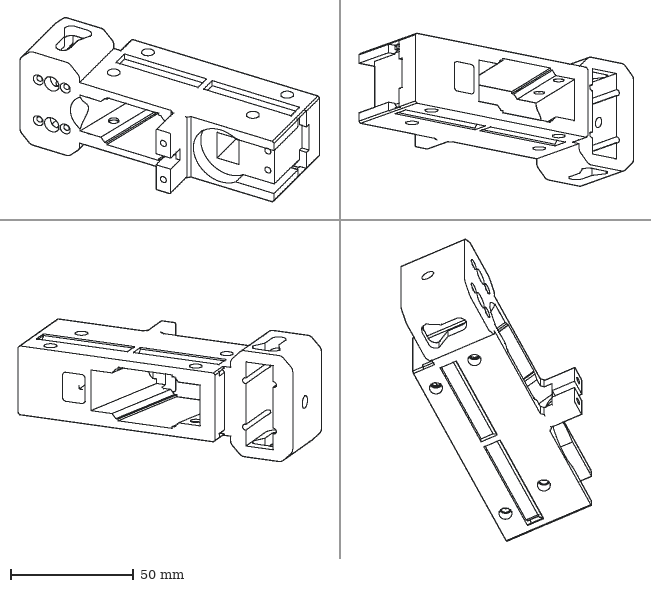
import cadquery as cq
import math

HEAD_LENGTH = 27.9
HEAD_DEPTH = 29.0
HEAD_HEIGHT = 45.7
HEAD_CHAMFER = 5.0
HEAD_CORNER_RADIUS = 3.0
HEAD_CENTRE_X = 14.9
CROSS_HOLE_DIAMETER = 6.7
CROSS_HOLE_Z = 10.0
SCREW_HOLE_OFFSET = 6.3
SCREW_HOLE_DIAMETER = 2.5
COUNTERSINK_DIAMETER = 4.6
KEYHOLE_SLOT_RADIUS = 3.05
KEYHOLE_SLOT_END_Y = 9.75
KEYHOLE_NECK_Y = 16.4
KEYHOLE_TOP_Y = 25.0
KEYHOLE_HALF_WIDTH = 6.05
KEYHOLE_CORNER_RADIUS = 3.15
KEYHOLE_CAVITY_HALF_HEIGHT = 18.1
SIDE_HOLE_Y = 16.8

END_X = 118.75
BODY_START_X = 30.5
BODY_DEPTH = 38.5
BODY_HEIGHT = 29.7
BODY_TOP = BODY_HEIGHT / 2
EDGE_CHAMFER = 0.8

LEG_START_X = 71.9
LEG_END_X = 78.75
LEG_REACH = 15.0
LEG_FILLET = 0.77
LEG_ROOT_CHAMFER = 1.2
LEG_GAP_HALF = 2.7
LEG_GAP_STEP_X = 76.8
LEG_GAP_NEAR_Y = -7.15
LEG_GAP_DEEP_Y = -4.9
LEG_HOLE_Z = 8.85
LEG_HOLE_DEPTH = 8.0

SLANT = math.tan(math.radians(13.3))
WINDOW_LEFT_X = 28.2
WINDOW_FRONT_Y = -4.7
WINDOW_UNDERCUT = 4.0
WINDOW_HALF_HEIGHT = 8.75
GROOVE_STEP_Z = 10.7
GROOVE_HALF_HEIGHT = 11.5
GROOVE_FLOOR_LEFT_X = 40.6
GROOVE_FLOOR_RIGHT_X = 64.8
GROOVE_LEDGE = 1.0
GROOVE_SLOPE = 1.75

LEFT_RELIEF_X = 32.5
LEFT_RELIEF_MOUTH_RADIUS = 8.9
LEFT_RELIEF_STEP_RADIUS = 6.8
LEFT_RELIEF_STEP_DEPTH = 1.2
LEFT_RELIEF_TIP_RADIUS = 3.05
LEFT_RELIEF_DEPTH = 5.0
RIGHT_RELIEF_Y = -6.0
RIGHT_RELIEF_RADIUS = 6.9
RIGHT_RELIEF_FLOOR_X = 77.6

SEAT_X = 93.75
SEAT_RADIUS = 12.7
SEAT_DEPTH = 6.25
CHANNEL_HALF_HEIGHT = 10.5
SEAT_WINDOW_LENGTH = 10.1
SEAT_WINDOW_HEIGHT = 12.5
SEAT_WINDOW_SQUARE_DEPTH = 22.0
SEAT_WINDOW_CORNER_RADIUS = 1.6
SEAT_HOLE_X = 112.4
SEAT_HOLE_Z = 4.65
SEAT_HOLE_DEPTH = 8.0
SMALL_HOLE_DIAMETER = 2.75
END_WALL_X = 115.4
END_RECESS_DEPTH = 2.0

SLOT_FRONT_Y = 20.3
SLOT_BACK_Y = 27.5
SLOT_SPANS = [(33.7, 72.0), (74.65, END_WALL_X)]
SLOT_FLOOR_Z = 12.35
SLOT_BEVEL = 1.8
MOUTH_TOP_Z = SLOT_FLOOR_Z + SLOT_BEVEL
MOUTH_BACK_Y = 34.0
MOUTH_START_X = 114.0

INSERT_DIAMETER = 5.2
INSERT_DEPTH = 5.0
THREAD_HOLE_DIAMETER = 4.2
PLATE_HOLE_ROWS = [(36.5, 13.3), (41.5, 33.2)]
PLATE_HOLE_PITCH = 65.0
BLIND_HOLE_DEPTH = 8.0

OVERCUT = 1.0


def box(x0, x1, y0, y1, z0, z1):
    """Box given by its limits along each axis."""
    return cq.Workplane("XY").box(x1 - x0, y1 - y0, z1 - z0, centered=False).translate((x0, y0, z0))


def rod_y(x, z, diameter, y0, y1):
    """Cylinder along Y from y0 to y1."""
    return cq.Workplane("XZ", origin=(x, y0, z)).circle(diameter / 2).extrude(y0 - y1)


def both_sides(solid):
    """A solid together with its mirror image about Z = 0."""
    return solid.union(solid.mirror("XY"))


def make_head():
    block = box(0, HEAD_LENGTH, 0, HEAD_DEPTH, -HEAD_HEIGHT / 2, HEAD_HEIGHT / 2)
    block = block.edges("|Y").chamfer(HEAD_CHAMFER)
    return block.edges("|Y").fillet(HEAD_CORNER_RADIUS)


def beveled_bar(x0, x1, y0, y1):
    """Full-height bar with its top and bottom edges chamfered at both X ends."""
    outline = [
        (x0, 0),
        (x0, BODY_TOP - EDGE_CHAMFER),
        (x0 + EDGE_CHAMFER, BODY_TOP),
        (x1 - EDGE_CHAMFER, BODY_TOP),
        (x1, BODY_TOP - EDGE_CHAMFER),
        (x1, 0),
    ]
    upper = cq.Workplane("XZ", origin=(0, y0, 0)).polyline(outline).close().extrude(y0 - y1)
    return both_sides(upper)


def make_body():
    rear = beveled_bar(BODY_START_X, END_X, 0, BODY_DEPTH)
    bridge = box(HEAD_LENGTH / 2, (BODY_START_X + END_X) / 2, 0, HEAD_DEPTH, -BODY_TOP, BODY_TOP)
    return rear.union(bridge)


def make_legs():
    legs = box(LEG_START_X, LEG_END_X, -LEG_REACH, OVERCUT, -BODY_TOP, BODY_TOP)
    legs = legs.edges("|Y").fillet(LEG_FILLET)
    c = LEG_ROOT_CHAMFER
    root = [(LEG_START_X - c, 0), (LEG_START_X, -c), (LEG_END_X, -c), (LEG_END_X + c, 0)]
    root_block = cq.Workplane("XY", origin=(0, 0, -BODY_TOP)).polyline(root).close().extrude(BODY_HEIGHT)
    legs = legs.union(root_block)
    g = LEG_GAP_HALF
    legs = legs.cut(box(LEG_START_X - c, LEG_END_X + c, -LEG_REACH, LEG_GAP_NEAR_Y, -g, g))
    legs = legs.cut(box(LEG_START_X - c, LEG_GAP_STEP_X, -LEG_REACH, LEG_GAP_DEEP_Y, -g, g))
    leg_centre_x = (LEG_START_X + LEG_END_X) / 2
    for z in (-LEG_HOLE_Z, LEG_HOLE_Z):
        legs = legs.cut(rod_y(leg_centre_x, z, SMALL_HOLE_DIAMETER, -LEG_REACH, LEG_HOLE_DEPTH - LEG_REACH))
    return legs


def slanted_prism(outline, y0, y1):
    """Sweep an XZ outline, given at Y = 0, along the slanted window direction."""
    start = [(x + SLANT * y0, z) for x, z in outline]
    end = [(x + SLANT * y1, z) for x, z in outline]
    sketch = cq.Workplane("XZ", origin=(0, y0, 0)).polyline(start).close()
    return sketch.workplane(offset=y0 - y1).polyline(end).close().loft(ruled=True)


def window_cut():
    right_x = LEG_START_X + WINDOW_UNDERCUT - SLANT * WINDOW_FRONT_Y
    y0 = WINDOW_FRONT_Y
    y1 = BODY_DEPTH + OVERCUT
    h = WINDOW_HALF_HEIGHT
    opening = [(WINDOW_LEFT_X, -h), (right_x, -h), (right_x, h), (WINDOW_LEFT_X, h)]
    left = GROOVE_FLOOR_LEFT_X
    right = GROOVE_FLOOR_RIGHT_X
    groove = [
        (left - GROOVE_LEDGE - GROOVE_SLOPE, 0),
        (left - GROOVE_LEDGE - GROOVE_SLOPE, h),
        (left - GROOVE_LEDGE, GROOVE_STEP_Z),
        (left, GROOVE_STEP_Z),
        (left, GROOVE_HALF_HEIGHT),
        (right, GROOVE_HALF_HEIGHT),
        (right, GROOVE_STEP_Z),
        (right + GROOVE_LEDGE, GROOVE_STEP_Z),
        (right + GROOVE_LEDGE + GROOVE_SLOPE, h),
        (right + GROOVE_LEDGE + GROOVE_SLOPE, 0),
    ]
    return slanted_prism(opening, y0, y1).union(both_sides(slanted_prism(groove, y0, y1)))


def relief_cuts():
    profile = [
        (0, 0),
        (LEFT_RELIEF_MOUTH_RADIUS, 0),
        (LEFT_RELIEF_STEP_RADIUS, LEFT_RELIEF_STEP_DEPTH),
        (LEFT_RELIEF_TIP_RADIUS, LEFT_RELIEF_DEPTH),
        (0, LEFT_RELIEF_DEPTH),
    ]
    left = cq.Workplane("XY").polyline(profile).close().revolve(360, (0, 0, 0), (0, 1, 0))
    left = left.translate((LEFT_RELIEF_X, 0, 0))
    length = RIGHT_RELIEF_FLOOR_X - LEG_START_X
    r = RIGHT_RELIEF_RADIUS
    disc = cq.Workplane("YZ", origin=(LEG_START_X, RIGHT_RELIEF_Y, 0)).circle(r).extrude(length)
    behind_leg = box(LEG_START_X, RIGHT_RELIEF_FLOOR_X, WINDOW_FRONT_Y, RIGHT_RELIEF_Y + r, -r, r)
    return left.union(disc.intersect(behind_leg))


def seat_cuts():
    h = CHANNEL_HALF_HEIGHT
    seat = rod_y(SEAT_X, 0, 2 * SEAT_RADIUS, 0, SEAT_DEPTH)
    seat = seat.union(box(SEAT_X, END_X + OVERCUT, 0, SEAT_DEPTH, -h, h))
    half_x = SEAT_WINDOW_LENGTH / 2
    half_z = SEAT_WINDOW_HEIGHT / 2
    x0 = SEAT_X - half_x
    x1 = SEAT_X + half_x
    seat = seat.union(box(x0, x1, 0, SEAT_WINDOW_SQUARE_DEPTH, -half_z, half_z))
    through = box(x0, x1, 0, BODY_DEPTH + OVERCUT, -half_z, half_z)
    seat = seat.union(through.edges("|Y").fillet(SEAT_WINDOW_CORNER_RADIUS))
    for z in (-SEAT_HOLE_Z, SEAT_HOLE_Z):
        seat = seat.union(rod_y(SEAT_HOLE_X, z, SMALL_HOLE_DIAMETER, 0, SEAT_DEPTH + SEAT_HOLE_DEPTH))
    seat = seat.union(box(END_WALL_X, END_X + OVERCUT, 0, SLOT_BACK_Y, -h, h))
    recess_back = SLOT_BACK_Y + END_RECESS_DEPTH
    return seat.union(box(END_WALL_X, END_X + OVERCUT, 0, recess_back, -half_z, half_z))


def slot_cuts():
    profile = [
        (SLOT_FRONT_Y, BODY_TOP + OVERCUT),
        (SLOT_FRONT_Y, MOUTH_TOP_Z),
        (SLOT_FRONT_Y + SLOT_BEVEL, SLOT_FLOOR_Z),
        (SLOT_BACK_Y, SLOT_FLOOR_Z),
        (SLOT_BACK_Y, BODY_TOP + OVERCUT),
    ]
    cuts = box(END_WALL_X, END_X + OVERCUT, SLOT_FRONT_Y, SLOT_BACK_Y, 0, MOUTH_TOP_Z)
    for x0, x1 in SLOT_SPANS:
        cuts = cuts.union(cq.Workplane("YZ", origin=(x0, 0, 0)).polyline(profile).close().extrude(x1 - x0))
    drop = END_WALL_X - MOUTH_START_X
    lip = [(MOUTH_START_X, SLOT_FLOOR_Z), (END_WALL_X, SLOT_FLOOR_Z), (END_WALL_X, SLOT_FLOOR_Z - drop)]
    lip_start = cq.Workplane("XZ", origin=(0, SLOT_FRONT_Y, 0)).polyline(lip).close()
    cuts = cuts.union(lip_start.extrude(SLOT_FRONT_Y - SLOT_BACK_Y))
    start_x = BODY_START_X
    ramp = [(start_x, SLOT_FLOOR_Z), (start_x, MOUTH_TOP_Z), (start_x + SLOT_BEVEL, MOUTH_TOP_Z)]
    ramp_start = cq.Workplane("XZ", origin=(0, HEAD_DEPTH, 0)).polyline(ramp).close()
    return both_sides(cuts.union(ramp_start.extrude(HEAD_DEPTH - MOUTH_BACK_Y)))


def stepped_hole(depth):
    """Hole along -Z from the origin: a wide insert seat, then a narrower bore."""
    seat = cq.Workplane("XY").circle(INSERT_DIAMETER / 2).extrude(-INSERT_DEPTH)
    return seat.union(cq.Workplane("XY").circle(THREAD_HOLE_DIAMETER / 2).extrude(-depth))


def plate_hole_cuts():
    cuts = cq.Workplane("XY")
    for x, y in PLATE_HOLE_ROWS:
        cuts = cuts.add(stepped_hole(BODY_TOP).translate((x, y, BODY_TOP)))
        blind_x = x + PLATE_HOLE_PITCH
        cuts = cuts.add(stepped_hole(BLIND_HOLE_DEPTH).translate((blind_x, y, BODY_TOP)))
    return both_sides(cuts.combine())


def keyhole_cut():
    """Keyhole through the top and bottom walls, widening to a cavity that opens at the back."""
    r = KEYHOLE_SLOT_RADIUS
    wide = KEYHOLE_HALF_WIDTH
    corner = KEYHOLE_CORNER_RADIUS
    flat = wide - corner
    shoulder_y = KEYHOLE_TOP_Y - corner
    mid_x = flat + corner * math.sqrt(0.5)
    mid_y = shoulder_y + corner * math.sqrt(0.5)
    keyhole = (
        cq.Workplane("XY", origin=(HEAD_CENTRE_X, 0, -HEAD_HEIGHT / 2))
        .moveTo(-r, KEYHOLE_SLOT_END_Y)
        .threePointArc((0, KEYHOLE_SLOT_END_Y - r), (r, KEYHOLE_SLOT_END_Y))
        .lineTo(r, KEYHOLE_NECK_Y)
        .lineTo(wide, shoulder_y)
        .threePointArc((mid_x, mid_y), (flat, KEYHOLE_TOP_Y))
        .lineTo(-flat, KEYHOLE_TOP_Y)
        .threePointArc((-mid_x, mid_y), (-wide, shoulder_y))
        .lineTo(-r, KEYHOLE_NECK_Y)
        .close()
        .extrude(HEAD_HEIGHT)
    )
    cavity_floor = cq.Workplane("XY", origin=(HEAD_CENTRE_X, 0, -KEYHOLE_CAVITY_HALF_HEIGHT))
    cavity = (
        cavity_floor.moveTo(-wide, KEYHOLE_SLOT_END_Y)
        .threePointArc((0, KEYHOLE_SLOT_END_Y - wide), (wide, KEYHOLE_SLOT_END_Y))
        .lineTo(wide, HEAD_DEPTH)
        .lineTo(-wide, HEAD_DEPTH)
        .close()
        .extrude(2 * KEYHOLE_CAVITY_HALF_HEIGHT)
    )
    return keyhole.union(cavity)


def countersink_y(x, z):
    """Right-angled countersink in the head's front face."""
    mouth = COUNTERSINK_DIAMETER / 2
    neck = SCREW_HOLE_DIAMETER / 2
    cone = cq.Solid.makeCone(mouth, neck, mouth - neck, cq.Vector(x, 0, z), cq.Vector(0, 1, 0))
    return cq.Workplane(cone)


def head_hole_cuts():
    cuts = keyhole_cut()
    for z in (-CROSS_HOLE_Z, CROSS_HOLE_Z):
        cuts = cuts.union(rod_y(HEAD_CENTRE_X, z, CROSS_HOLE_DIAMETER, 0, HEAD_DEPTH))
        for x in (HEAD_CENTRE_X - SCREW_HOLE_OFFSET, HEAD_CENTRE_X + SCREW_HOLE_OFFSET):
            cuts = cuts.union(rod_y(x, z, SCREW_HOLE_DIAMETER, 0, HEAD_DEPTH))
            cuts = cuts.union(countersink_y(x, z))
    side = stepped_hole(HEAD_CENTRE_X).rotate((0, 0, 0), (0, 1, 0), -90)
    return cuts.union(side.translate((0, SIDE_HOLE_Y, 0)))


result = (
    make_head()
    .union(make_body())
    .union(make_legs())
    .cut(window_cut())
    .cut(relief_cuts())
    .cut(seat_cuts())
    .cut(slot_cuts())
    .cut(plate_hole_cuts())
    .cut(head_hole_cuts())
)